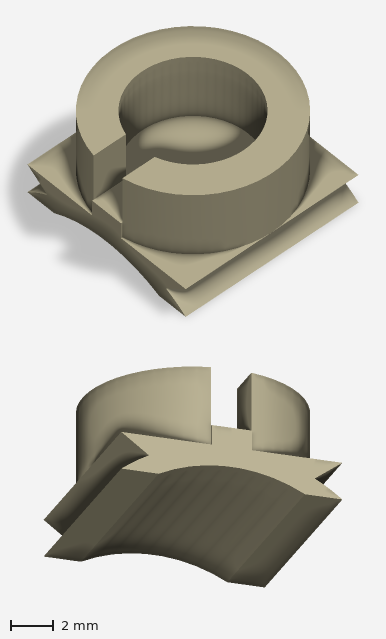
import cadquery as cq
import math

width = 11.0
saddle_radius = 8.0
shell_thickness = 1.0
bore_diameter = 7.0
ring_height = 4.0
slot_width = 2.0
slot_floor_height = 1.0

half_width = width / 2
outer_radius = saddle_radius + shell_thickness
axis_z = -math.sqrt(outer_radius**2 - half_width**2)
saddle_top_z = axis_z + saddle_radius
base_top_z = axis_z + outer_radius
saddle_half_chord = math.sqrt(saddle_radius**2 - axis_z**2)

notch_root_x = math.sqrt(outer_radius**2 - saddle_radius**2)
notch_mid_x = (half_width + notch_root_x) / 2
notch_mid_z = axis_z + math.sqrt(outer_radius**2 - notch_mid_x**2)


def make_base():
    """Square base with a saddle underneath and a V notch along each side."""
    profile = (
        cq.Workplane("XZ")
        .moveTo(-half_width, base_top_z)
        .lineTo(half_width, base_top_z)
        .lineTo(notch_root_x, saddle_top_z)
        .threePointArc((notch_mid_x, notch_mid_z), (half_width, 0))
        .lineTo(saddle_half_chord, 0)
        .threePointArc((0, saddle_top_z), (-saddle_half_chord, 0))
        .lineTo(-half_width, 0)
        .threePointArc((-notch_mid_x, notch_mid_z), (-notch_root_x, saddle_top_z))
        .close()
    )
    return profile.extrude(half_width, both=True)


def slot_block(height):
    """Block as wide as the slot, from the ring centre to the front face."""
    return (
        cq.Workplane("XY")
        .workplane(offset=base_top_z)
        .center(0, -half_width / 2)
        .rect(slot_width, half_width)
        .extrude(height)
    )


def make_bore():
    """Cylinder that fills the inside of the ring."""
    return (
        cq.Workplane("XY")
        .workplane(offset=base_top_z)
        .circle(bore_diameter / 2)
        .extrude(ring_height)
    )


def make_ring():
    """Ring opened at the front by a slot with a raised floor reaching the front face."""
    disc = (
        cq.Workplane("XY")
        .workplane(offset=base_top_z)
        .circle(half_width)
        .extrude(ring_height)
    )
    slotted = disc.cut(slot_block(ring_height))
    return slotted.union(slot_block(slot_floor_height)).cut(make_bore())


result = make_base().union(make_ring())